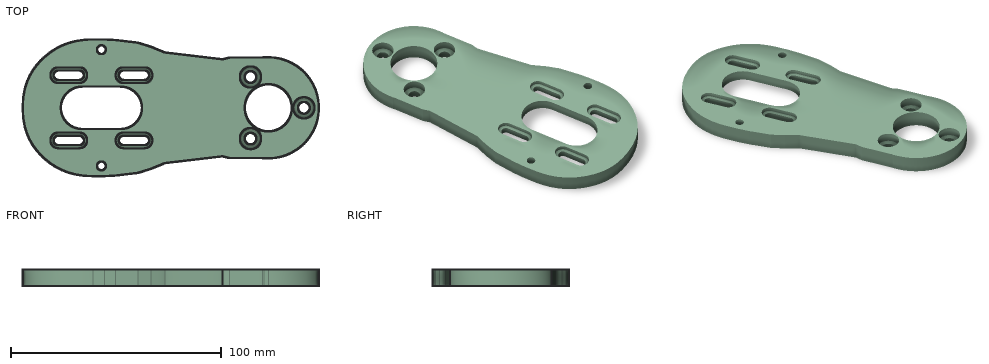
import cadquery as cq
import math

overall_length = 140.5
thickness = 8.0

hub_x = 79.1
hub_radius = 24.0
flank_half_width = 23.9
flank_start_x = 60.8
step_start_x = 76.5
step_end_x = 77.0

motor_half_width = 32.5
motor_end_x = hub_x + hub_radius - overall_length
nose_quarter_point = (-27.7, 23.5)
nose_end_x = -4.0

flat_end_x = 1.4
bevel_start = (6.7, 32.2)
shoulder_start = (17.3, 30.9)
shoulder_middle = (23.6, 29.0)
neck_start = (30.0, 26.3)
neck_end = (57.5, 23.0)

opening_length = 38.4
opening_width = 20.0
slot_spacing = 30.9
slot_travel = 10.0
slot_width = 4.4
slot_recess_width = 7.5
slot_recess_depth = 2.0

motor_body_width = 42.2
motor_recess_length = motor_body_width + slot_travel
motor_recess_depth = 3.0

pin_hole_diameter = 4.1
pin_hole_spacing = 55.1

bore_diameter = 22.2
seat_diameter = 22.5
seat_depth = 2.0
screw_count = 3
screw_circle_radius = 16.9
screw_hole_diameter = 5.5
screw_recess_diameter = 10.1
screw_recess_depth = 4.2


def half_plate():
    """The +Y half of the plate, cut off along the X axis."""
    hub_arc_reach = hub_radius * math.sqrt(0.5)
    hub_arc_middle = (hub_x + hub_arc_reach, hub_arc_reach)
    return (
        cq.Workplane("XY")
        .moveTo(motor_end_x, 0)
        .spline(
            [nose_quarter_point, (nose_end_x, motor_half_width)],
            tangents=[(0, 1), (1, 0)],
            includeCurrent=True,
        )
        .lineTo(flat_end_x, motor_half_width)
        .lineTo(*bevel_start)
        .lineTo(*shoulder_start)
        .lineTo(*shoulder_middle)
        .lineTo(*neck_start)
        .lineTo(*neck_end)
        .lineTo(flank_start_x, flank_half_width)
        .lineTo(step_start_x, flank_half_width)
        .lineTo(step_end_x, hub_radius)
        .lineTo(hub_x, hub_radius)
        .threePointArc(hub_arc_middle, (hub_x + hub_radius, 0))
        .close()
        .extrude(thickness)
    )


def corner_slots(width, depth):
    """Slots at the four motor screw positions, reaching a depth below the top face."""
    return (
        cq.Workplane("XY")
        .workplane(offset=thickness - depth)
        .rect(slot_spacing, slot_spacing, forConstruction=True)
        .vertices()
        .slot2D(slot_travel + width, width)
        .extrude(depth)
    )


def cut_motor_mount(plate):
    """Cut the shaft opening, motor recess, recessed slots and pin holes."""
    opening = cq.Workplane("XY").slot2D(opening_length, opening_width).extrude(thickness)
    slots = corner_slots(slot_width, thickness)
    slot_recesses = corner_slots(slot_recess_width, slot_recess_depth)
    pin_holes = (
        cq.Workplane("XY")
        .rarray(1.4, pin_hole_spacing, 1, 2)
        .circle(pin_hole_diameter / 2)
        .extrude(thickness)
    )
    motor_recess = (
        cq.Workplane("XY")
        .rect(motor_recess_length, motor_body_width)
        .extrude(motor_recess_depth)
    )
    return plate.cut(opening).cut(motor_recess).cut(slots).cut(slot_recesses).cut(pin_holes)


def cut_hub(plate):
    """Cut the stepped bore and the ring of counterbored screw holes."""
    bore = cq.Workplane("XY").center(hub_x, 0).circle(bore_diameter / 2).extrude(thickness)
    seat = cq.Workplane("XY").center(hub_x, 0).circle(seat_diameter / 2).extrude(seat_depth)
    return (
        plate.cut(bore)
        .cut(seat)
        .copyWorkplane(cq.Workplane("XY", origin=(hub_x, 0, thickness)))
        .polarArray(screw_circle_radius, 0, 360, screw_count)
        .cboreHole(screw_hole_diameter, screw_recess_diameter, screw_recess_depth)
    )


upper_half = half_plate()
blank = upper_half.union(upper_half.mirror("XZ")).clean()
result = cut_hub(cut_motor_mount(blank))